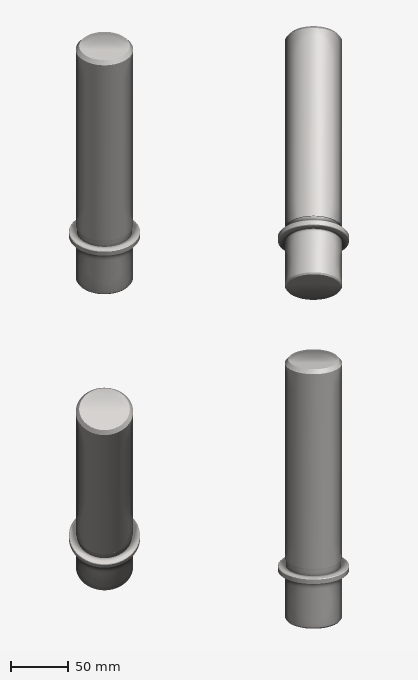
import cadquery as cq

total_height = 245.0
pin_diameter = 50.0
flange_diameter = 62.0
neck_diameter = 48.3

flange_bottom = 44.8
flange_thickness = 5.1
neck_height = 7.0

top_chamfer = 3.5
top_chamfer_inset = 3.0
shank_chamfer = 1.5
shank_chamfer_inset = 1.0
flange_chamfer = 0.5

flange_top = flange_bottom + flange_thickness
neck_top = flange_top + neck_height


def cylinder(diameter, bottom, top):
    """Solid cylinder on the Z axis between two heights."""
    return cq.Workplane("XY").workplane(offset=bottom).circle(diameter / 2).extrude(top - bottom)


shank = cylinder(pin_diameter, 0, flange_bottom).edges("%CIRCLE").chamfer(shank_chamfer, shank_chamfer_inset)

flange = cylinder(flange_diameter, flange_bottom, flange_top).edges("%CIRCLE").chamfer(flange_chamfer)

neck = cylinder(neck_diameter, flange_top, neck_top)

pin = cylinder(pin_diameter, neck_top, total_height).faces(">Z").edges().chamfer(top_chamfer, top_chamfer_inset)

result = shank.union(flange).union(neck).union(pin)